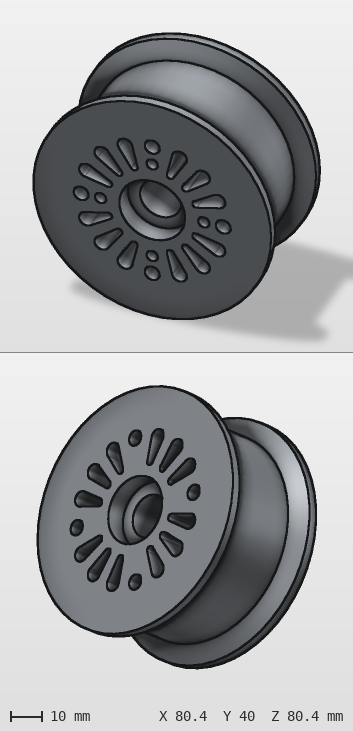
import cadquery as cq
import math

flange_diameter = 80.4
drum_diameter = 68.4
width = 40.0
rim_width = 3.2
cone_width = 3.3

bore_diameter = 14.0
seat_diameter = 22.2
seat_depth = 7.0

quarter_turn = 90
hole_circle_radius = 24.0
through_hole_diameter = 5.0
drill_circle_radius = 17.45
drill_diameter = 3.8
drill_depth = 10.0
drill_point_angle = 118
slot_inner_radius = 16.0
slot_inner_end_radius = 1.2
slot_outer_end_radius = through_hole_diameter / 2
slot_pitch_angle = quarter_turn / 4

half_width = width / 2
rim_inner_y = half_width - rim_width
drum_end_y = rim_inner_y - cone_width


def cylinder(diameter, start_y, length, x=0, z=0):
    """Cylinder running towards +Y from start_y."""
    return cq.Workplane(
        cq.Solid.makeCylinder(diameter / 2, length, cq.Vector(x, start_y, z), cq.Vector(0, 1, 0))
    )


def turn(shape, angle):
    """Rotate a shape about the roller axis."""
    return shape.rotate((0, 0, 0), (0, 1, 0), angle)


def roller_body():
    """Drum between two flanges with conical inner sides."""
    flange_radius = flange_diameter / 2
    drum_radius = drum_diameter / 2
    return (
        cq.Workplane("XY")
        .moveTo(0, -half_width)
        .lineTo(flange_radius, -half_width)
        .lineTo(flange_radius, -rim_inner_y)
        .lineTo(drum_radius, -drum_end_y)
        .lineTo(drum_radius, drum_end_y)
        .lineTo(flange_radius, rim_inner_y)
        .lineTo(flange_radius, half_width)
        .lineTo(0, half_width)
        .close()
        .revolve(360, (0, 0, 0), (0, 1, 0))
    )


def drilled_hole():
    """Blind hole in the -Y face with a conical bottom."""
    radius = drill_diameter / 2
    point_length = radius / math.tan(math.radians(drill_point_angle / 2))
    bottom_y = drill_depth - half_width
    return (
        cq.Workplane("XY")
        .moveTo(drill_circle_radius, -half_width)
        .lineTo(drill_circle_radius + radius, -half_width)
        .lineTo(drill_circle_radius + radius, bottom_y)
        .lineTo(drill_circle_radius, bottom_y + point_length)
        .close()
        .revolve(360, (drill_circle_radius, 0, 0), (drill_circle_radius, 1, 0))
    )


def tapered_slot():
    """Radial slot along +X: two end arcs joined by their common tangents."""
    end_distance = hole_circle_radius - slot_inner_radius
    sine = (slot_outer_end_radius - slot_inner_end_radius) / end_distance
    cosine = math.sqrt(1 - sine**2)
    inner_x = slot_inner_radius - slot_inner_end_radius * sine
    inner_z = slot_inner_end_radius * cosine
    outer_x = hole_circle_radius - slot_outer_end_radius * sine
    outer_z = slot_outer_end_radius * cosine
    return (
        cq.Workplane("XZ", origin=(0, half_width, 0))
        .moveTo(inner_x, inner_z)
        .lineTo(outer_x, outer_z)
        .threePointArc((hole_circle_radius + slot_outer_end_radius, 0), (outer_x, -outer_z))
        .lineTo(inner_x, -inner_z)
        .threePointArc((slot_inner_radius - slot_inner_end_radius, 0), (inner_x, inner_z))
        .close()
        .extrude(width)
    )


result = roller_body()
result = result.cut(cylinder(bore_diameter, -half_width, width))
for seat_start_y in (-half_width, half_width - seat_depth):
    result = result.cut(cylinder(seat_diameter, seat_start_y, seat_depth))

through_hole = cylinder(through_hole_diameter, -half_width, width, x=hole_circle_radius)
for quarter in range(4):
    quarter_angle = quarter * quarter_turn
    result = result.cut(turn(through_hole, quarter_angle))
    result = result.cut(turn(drilled_hole(), quarter_angle))
    for slot_index in range(1, 4):
        slot_angle = quarter_angle + slot_index * slot_pitch_angle
        result = result.cut(turn(tapered_slot(), slot_angle))